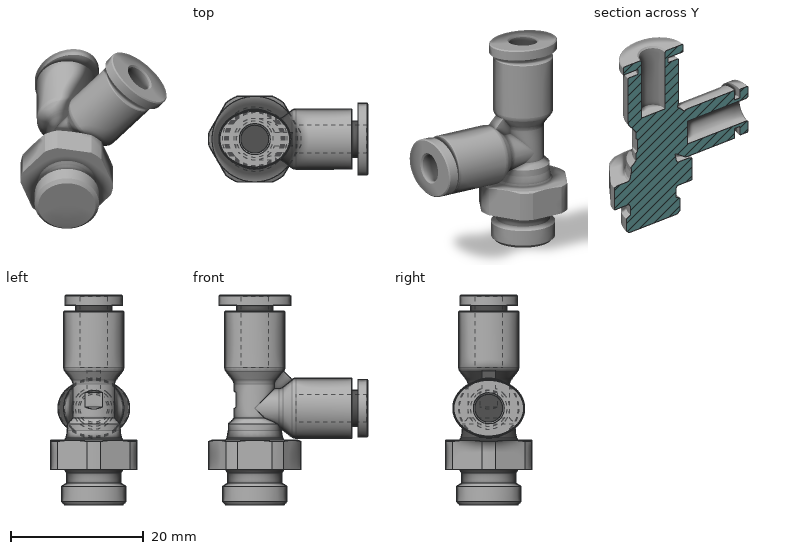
import cadquery as cq


total_height = 31.7
branch_height = 14.63
branch_reach = 17.09

thread_radius = 4.86
thread_end_chamfer = 0.53
thread_top = 2.85
undercut_radius = 4.1
undercut_bottom = 3.32
undercut_top = 4.85
hex_seat_radius = 4.4

hex_across_flats = 13.0
hex_corner_radius = 7.0
hex_bottom = 5.35
hex_top = 9.8
hex_crown_radius = 6.45
hex_crown_drop = 0.2

collar_foot_radius = 4.45
collar_flare_radius = 4.22
collar_flare_top = 10.1
collar_radius = 4.0
collar_taper_top = 11.28
collar_cone_bottom = 12.26
stem_radius = 3.14
collar_cone_top = collar_cone_bottom + (collar_radius - stem_radius)

body_radius = 4.55
body_setback = 2.4
body_rim_chamfer = 0.12
body_length = 8.84
cone_length = 1.83
cone_blend_radius = 1.0
release_thickness = 1.54
release_half_length = 5.43
release_half_width = 4.36
release_chamfer = 0.17
release_neck_radius = 2.75
bore_radius = 2.1
bore_mouth_chamfer = 0.24
bore_depth = 10.9

web_thickness = 2.0
web_leg = 9.95

flat_distance = 2.86
flat_bottom = 14.8
flat_top = 17.0
flat_cut_overshoot = 0.5


def make_base():
    """Threaded end and collar, turned about Z."""
    outline = [
        (0, 0),
        (thread_radius - thread_end_chamfer, 0),
        (thread_radius, thread_end_chamfer),
        (thread_radius, thread_top),
        (undercut_radius, undercut_bottom),
        (undercut_radius, undercut_top),
        (hex_seat_radius, hex_bottom),
        (hex_seat_radius, hex_top),
        (collar_foot_radius, hex_top),
        (collar_flare_radius, collar_flare_top),
        (collar_radius, collar_taper_top),
        (collar_radius, collar_cone_bottom),
        (stem_radius, collar_cone_top),
        (0, collar_cone_top),
    ]
    return cq.Workplane("XZ").polyline(outline).close().revolve(360, (0, 0), (0, 1))


def make_hex():
    """Hex with two flats facing Y, rounded corners and a shallow crown on top."""
    height = hex_top - hex_bottom
    prism = (
        cq.Workplane("XY", origin=(0, 0, hex_bottom))
        .polygon(6, hex_across_flats, circumscribed=True)
        .extrude(height)
        .rotate((0, 0, 0), (0, 0, 1), 90)
    )
    envelope = (
        cq.Workplane("XY", origin=(0, 0, hex_bottom))
        .circle(hex_corner_radius)
        .extrude(height)
        .faces(">Z")
        .chamfer(hex_crown_drop, hex_corner_radius - hex_crown_radius)
    )
    return prism.intersect(envelope)


def make_socket(length):
    """Socket along +Z: stem from the origin, cone, body and oval release ring ending at length."""
    body_end = length - body_setback
    cone_end = body_end - body_length
    cone_start = cone_end - cone_length
    ring_start = length - release_thickness
    shell_outline = [
        (0, 0),
        (stem_radius, 0),
        (stem_radius, cone_start),
        (body_radius, cone_end),
        (body_radius, body_end),
        (0, body_end),
    ]
    shell = cq.Workplane("XZ").polyline(shell_outline).close().revolve(360, (0, 0), (0, 1))
    edge_margin = cone_length / 2
    cone_edges = cq.selectors.BoxSelector(
        (-2 * body_radius, -2 * body_radius, cone_start - edge_margin),
        (2 * body_radius, 2 * body_radius, cone_end + edge_margin),
        boundingbox=True,
    )
    shell = shell.edges("%CIRCLE").edges(cone_edges).fillet(cone_blend_radius)
    shell = shell.faces(">Z").chamfer(body_rim_chamfer)
    neck = cq.Workplane("XY", origin=(0, 0, body_end)).circle(release_neck_radius).extrude(body_setback)
    ring = (
        cq.Workplane("XY", origin=(0, 0, ring_start))
        .ellipse(release_half_length, release_half_width)
        .extrude(release_thickness)
        .faces(">Z")
        .chamfer(release_chamfer)
    )
    return shell.union(neck).union(ring)


def make_bore(length):
    """Blind tube bore with a chamfered mouth, for a socket along +Z."""
    mouth_radius = bore_radius + bore_mouth_chamfer
    outline = [
        (0, length - bore_depth),
        (bore_radius, length - bore_depth),
        (bore_radius, length - bore_mouth_chamfer),
        (mouth_radius, length),
        (0, length),
    ]
    return cq.Workplane("XZ").polyline(outline).close().revolve(360, (0, 0), (0, 1))


def turn_to_branch(shape):
    """Move a socket shape from +Z at the origin to +X at the branch height, long ring axis along Y."""
    return (
        shape.rotate((0, 0, 0), (0, 0, 1), 90)
        .rotate((0, 0, 0), (0, 1, 0), 90)
        .translate((0, 0, branch_height))
    )


def make_web():
    """Triangular plate filling the corner between run and branch; its far corners lie inside the bodies."""
    corners = [
        (0, branch_height),
        (web_leg, branch_height),
        (0, branch_height + web_leg),
    ]
    return cq.Workplane("XZ").polyline(corners).close().extrude(web_thickness / 2, both=True)


def make_stem_flat():
    """Cutter for the shallow flat on the -X side, with ends sloped at 45 degrees."""
    rise = stem_radius - flat_distance + flat_cut_overshoot
    corners = [
        (-flat_distance, flat_bottom),
        (-flat_distance, flat_top),
        (-flat_distance - rise, flat_top + rise),
        (-flat_distance - rise, flat_bottom - rise),
    ]
    return cq.Workplane("XZ").polyline(corners).close().extrude(stem_radius, both=True)


run_length = total_height - branch_height
run_socket = make_socket(run_length).translate((0, 0, branch_height))
run_bore = make_bore(run_length).translate((0, 0, branch_height))
lower_stem = (
    cq.Workplane("XY", origin=(0, 0, collar_cone_top))
    .circle(stem_radius)
    .extrude(branch_height - collar_cone_top)
)

result = (
    make_base()
    .union(make_hex())
    .union(lower_stem)
    .union(run_socket)
    .union(turn_to_branch(make_socket(branch_reach)))
    .union(make_web())
    .cut(make_stem_flat())
    .cut(run_bore)
    .cut(turn_to_branch(make_bore(branch_reach)))
)